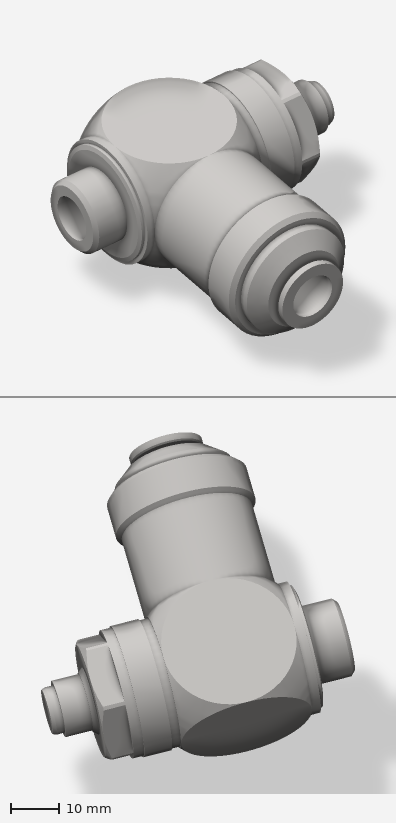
import cadquery as cq
import math


block_half = 14.0
block_size = 2 * block_half

flange_end = 15.95
seat_end = 16.95
seat_radius = 13.05
seat_face_radius = 12.1
seat_bevel_depth = 0.3
stud_end = 25.0
stud_radius = 8.3
stud_chamfer = 0.9

cap_radius = 13.7
cap_band_start = 15.95
cap_band_end = 21.9
cap_end = 24.1
hex_end = 29.7
hex_across_flats = 24.0
hex_corner_radius = 13.6
washer_end = 30.8
washer_radius = 7.2
washer_tip_radius = 6.3
screw_shoulder_end = 36.55
screw_radius = 6.0
screw_end = 39.0
screw_tip_radius = 5.05
screw_chamfer = 0.8
screw_chamfer_depth = 0.3

barrel_end = 33.0
collar_end = 42.0
collar_diameter = 30.0
collar_radius = collar_diameter / 2
collar_chamfer = 0.95
nose_cone_start = 44.0
nose_end = 46.9
nose_radius = 12.55
nose_tip_radius = 9.15
neck_radius = 5.7
disc_start = 48.25
disc_end = 50.0
disc_radius = 7.8
disc_chamfer = 0.3

bore_radius = 5.0


def revolve_about_x(points):
    """Solid of revolution about X from (axial, radial) points."""
    return cq.Workplane("XY").polyline(points).close().revolve(360, (0, 0, 0), (1, 0, 0))


def revolve_about_y(points):
    """Solid of revolution about Y from (axial, radial) points."""
    swapped = [(radial, axial) for axial, radial in points]
    return cq.Workplane("XY").polyline(swapped).close().revolve(360, (0, 0, 0), (0, 1, 0))


def make_block():
    """Cube whose corners are rounded by a sphere touching all its edges."""
    cube = cq.Workplane("XY").box(block_size, block_size, block_size)
    return cube.intersect(cq.Workplane("XY").sphere(block_half * math.sqrt(2)))


def make_stud():
    """Flange, bevelled sealing seat and chamfered stud on the -Y side."""
    return revolve_about_y([
        (0, 0),
        (0, block_half),
        (-flange_end, block_half),
        (-flange_end, seat_radius),
        (-(seat_end - seat_bevel_depth), seat_radius),
        (-seat_end, seat_face_radius),
        (-seat_end, stud_radius),
        (-(stud_end - stud_chamfer), stud_radius),
        (-stud_end, stud_radius - stud_chamfer),
        (-stud_end, 0),
    ])


def make_cap_and_screw():
    """Round cap with a raised band and the stepped screw on the +Y side."""
    return revolve_about_y([
        (0, 0),
        (0, cap_radius),
        (cap_band_start, cap_radius),
        (cap_band_start, block_half),
        (cap_band_end, block_half),
        (cap_band_end, cap_radius),
        (cap_end, cap_radius),
        (cap_end, washer_radius),
        (hex_end, washer_radius),
        (washer_end, washer_tip_radius),
        (washer_end, screw_radius),
        (screw_shoulder_end, screw_radius),
        (screw_shoulder_end, screw_tip_radius),
        (screw_end - screw_chamfer, screw_tip_radius),
        (screw_end, screw_tip_radius - screw_chamfer_depth),
        (screw_end, 0),
    ])


def make_hex():
    """Hexagon with corners on +-X, trimmed round and bevelled at 30 degrees."""
    flat_radius = hex_across_flats / 2
    hex_angle = math.radians(30)
    bevel_drop = (hex_corner_radius - flat_radius) * math.tan(hex_angle)
    hexagon = (
        cq.Workplane("XZ", origin=(0, cap_end, 0))
        .polygon(6, hex_across_flats / math.cos(hex_angle))
        .extrude(-(hex_end - cap_end))
    )
    envelope = revolve_about_y([
        (cap_end, 0),
        (cap_end, hex_corner_radius),
        (hex_end - bevel_drop, hex_corner_radius),
        (hex_end, flat_radius),
        (hex_end, 0),
    ])
    return hexagon.intersect(envelope)


def make_connector():
    """Barrel, collar, conical nose and release disc on the +X side."""
    return revolve_about_x([
        (block_half, 0),
        (block_half, block_half),
        (barrel_end, block_half),
        (barrel_end + collar_chamfer, collar_radius),
        (collar_end - collar_chamfer, collar_radius),
        (collar_end, collar_radius - collar_chamfer),
        (collar_end, nose_radius),
        (nose_cone_start, nose_radius),
        (nose_end, nose_tip_radius),
        (nose_end, neck_radius),
        (disc_start, neck_radius),
        (disc_start, disc_radius - disc_chamfer),
        (disc_start + disc_chamfer, disc_radius),
        (disc_end, disc_radius),
        (disc_end, 0),
    ])


def make_passage():
    """Elbow bore from the stud to the connector with a ball-shaped corner."""
    stud_bore = cq.Workplane("XZ").circle(bore_radius).extrude(stud_end)
    connector_bore = cq.Workplane("YZ").circle(bore_radius).extrude(disc_end)
    corner = cq.Workplane("XY").sphere(bore_radius)
    return stud_bore.union(connector_bore).union(corner)


result = make_block()
for feature in (make_stud(), make_cap_and_screw(), make_hex(), make_connector()):
    result = result.union(feature)
result = result.cut(make_passage())